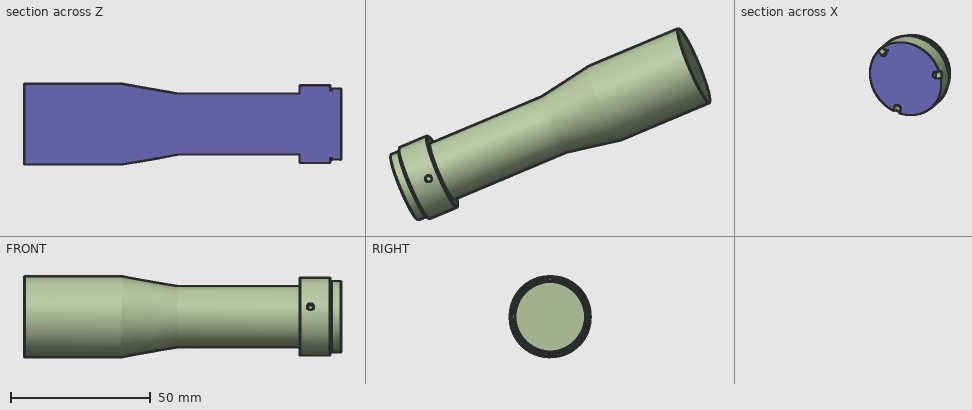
import cadquery as cq

total_length = 113.5
body_end = 35.0
taper_end = 54.9
collar_start = 98.5
collar_end = 109.6
flange_start = 110.1

body_radius = 14.5
neck_radius = 11.0
collar_radius = 14.0
groove_radius = 12.1
flange_radius = 12.8

body_chamfer = 0.2
collar_chamfer = 0.3
flange_chamfer = 0.3

hole_count = 3
first_hole_angle = 45.0
hole_diameter = 2.4
hole_depth = 2.3
hole_tip_depth = 0.7
hole_x = 102.5


def turned_section(start, end, radius):
    """Return a cylinder on the X axis between two stations."""
    return cq.Workplane("YZ", origin=(start, 0, 0)).circle(radius).extrude(end - start)


def make_taper():
    """Return the cone frustum joining the body to the neck."""
    return (
        cq.Workplane("XY")
        .moveTo(body_end, 0)
        .lineTo(body_end, body_radius)
        .lineTo(taper_end, neck_radius)
        .lineTo(taper_end, 0)
        .close()
        .revolve(360, (0, 0, 0), (1, 0, 0))
    )


def make_hole_cutter(angle):
    """Return a pointed drill along a collar radius, turned about X by angle."""
    hole_radius = hole_diameter / 2
    floor_radius = collar_radius - hole_depth
    return (
        cq.Workplane("XY")
        .moveTo(hole_x, floor_radius - hole_tip_depth)
        .lineTo(hole_x + hole_radius, floor_radius)
        .lineTo(hole_x + hole_radius, collar_radius + hole_radius)
        .lineTo(hole_x, collar_radius + hole_radius)
        .close()
        .revolve(360, (hole_x, 0, 0), (hole_x, 1, 0))
        .rotate((0, 0, 0), (1, 0, 0), angle)
    )


body = turned_section(0, body_end, body_radius).faces("<X").chamfer(body_chamfer)
neck = turned_section(taper_end, collar_start, neck_radius)
collar = turned_section(collar_start, collar_end, collar_radius).faces("<X or >X").chamfer(collar_chamfer)
groove = turned_section(collar_end, flange_start, groove_radius)
flange = turned_section(flange_start, total_length, flange_radius).faces(">X").chamfer(flange_chamfer)
result = body.union(make_taper()).union(neck).union(collar).union(groove).union(flange)

for index in range(hole_count):
    result = result.cut(make_hole_cutter(first_hole_angle + index * 360 / hole_count))